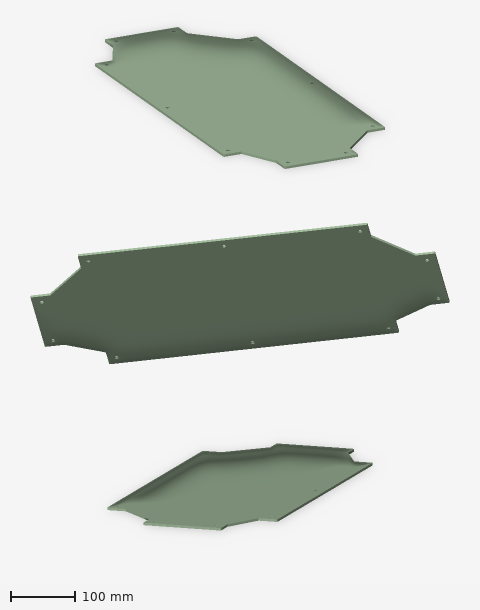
import cadquery as cq

length = 640.0
width = 280.0
thickness = 4.0

side_inset = 91.0
back_inset = 91.0
front_inset = 61.5
back_shoulder = 31.5
front_shoulder = 31.0
corner_radius = 2.0

hole_diameter = 6.5
hole_margin = 15.0
end_hole_margin = 15.5
front_tab_hole_margin = 13.5
side_hole_margin = 14.0

half_length = length / 2
half_width = width / 2
side_end = half_length - side_inset
tab_back = half_width - back_inset
tab_front = -half_width + front_inset


def make_plate():
    """Flat plate with a stepped, slanted cutout at each corner."""
    right_half = [
        (side_end, -half_width),
        (side_end, -half_width + front_shoulder),
        (half_length - front_shoulder, tab_front),
        (half_length, tab_front),
        (half_length, tab_back),
        (half_length - back_shoulder, tab_back),
        (side_end, half_width - back_shoulder),
        (side_end, half_width),
    ]
    left_half = [(-x, y) for x, y in reversed(right_half)]
    outline = cq.Workplane("XY").polyline(right_half + left_half).close()
    square_corners = "(<X or >X or <Y or >Y) and |Z"
    return outline.extrude(thickness).edges(square_corners).fillet(corner_radius)


def hole_centres():
    """Three holes along each long side and two on each end tab."""
    side_x = side_end - side_hole_margin
    side_y = half_width - hole_margin
    tab_x = half_length - end_hole_margin
    side_holes = [(x, y) for x in (-side_x, 0, side_x) for y in (-side_y, side_y)]
    tab_y = (tab_front + front_tab_hole_margin, tab_back - hole_margin)
    tab_holes = [(x, y) for x in (-tab_x, tab_x) for y in tab_y]
    return side_holes + tab_holes


hole_cutters = cq.Workplane("XY").pushPoints(hole_centres()).circle(hole_diameter / 2).extrude(thickness)
result = make_plate().cut(hole_cutters)